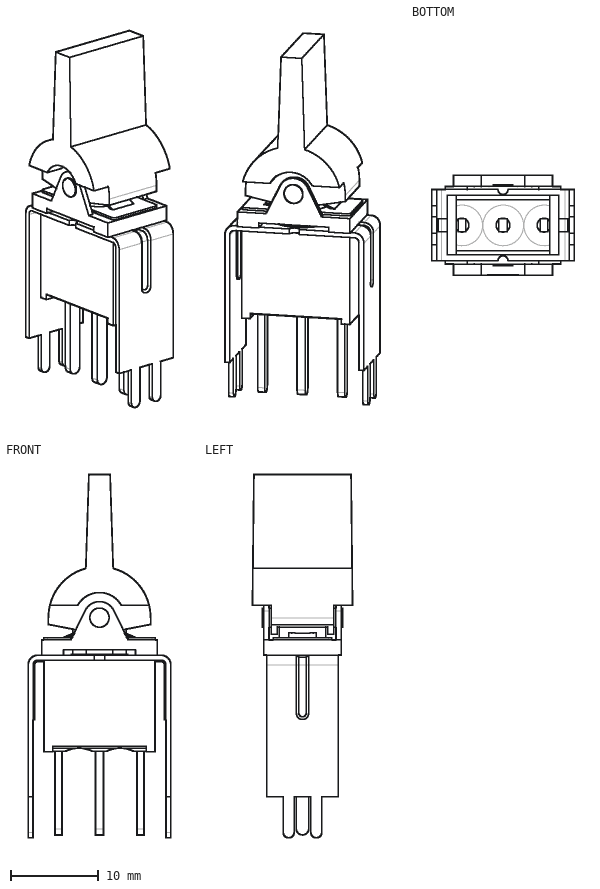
import cadquery as cq
import math


total_height = 41.4

bracket_length = 16.25
bracket_depth = 8.15
bracket_top = 20.8
sheet_thickness = 0.6
bend_radius = 1.1
leg_bottom = 4.68
leg_pin_width = 1.3
leg_pin_spacing = 3.15
notch_radius = 0.6

bead_height = 0.15
groove_depth = 0.25
bead_half_width = 0.75
groove_half_width = 0.7
groove_floor_half_width = 0.4
bead_end_height = 14.2

body_length = 12.65
body_depth = 6.8
body_bottom = 9.8
body_recess_length = 10.68
body_recess_height = 0.62
resin_bottom = 10.22
resin_depth = 5.8
meniscus_bottom = 9.85
meniscus_inner_radius = 0.8
meniscus_outer_radius = 2.3
meniscus_bend_reach = 0.45
meniscus_bend_rise = 0.7
terminal_pitch = 4.68
outer_terminal_thickness = 0.83
centre_terminal_thickness = 0.95
terminal_width = 1.45
terminal_tip = 0.35

bushing_radius = 3.05
bushing_across_flats = 5.35
flange_radius = 3.23
flange_height = 0.1

frame_length = 13.15
frame_depth = 8.85
frame_top = 22.55
frame_slot_length = 8.2
frame_slot_height = 0.6
ear_thickness = 0.62
ear_base_half_width = 3.25
ear_radius = 1.82
pivot_height = 25.08
pivot_diameter = 2.2
pivot_length = 9.2

plate_length = 12.7
plate_depth = 6.65
plate_top = 22.8
plate_corner_radius = 0.4
tab_foot = 4.15
tab_end = 2.8
tab_rise = 0.6
tab_thickness = 0.15
tab_width = 3.15

rocker_radius = 5.85
rocker_depth = 11.42
hub_depth = 7.1
hood_bottom = 26.5
ear_clearance_radius = 2.85
rocker_corner_height = 24.3
rocker_keel_height = 23.17
rocker_recess_length = 8.7
rocker_recess_depth = 5.7
lever_base_thickness = 3.15
lever_tip_thickness = 2.45
lever_tip_depth = 11.1


def block(length, depth, bottom, top):
    """Box centred on the vertical axis between two heights."""
    box = cq.Workplane("XY").box(length, depth, top - bottom, centered=(True, True, False))
    return box.translate((0, 0, bottom))


def extrude_y(profile, depth):
    """Extrude a profile drawn in the XZ plane equally to both sides."""
    return profile.extrude(depth / 2, both=True)


def cylinder_y(radius, height, depth):
    return extrude_y(cq.Workplane("XZ").center(0, height).circle(radius), depth)


def round_tipped_pin(x, y, thickness, width, tip, top):
    """Flat pin whose lower end is a half circle across its width."""
    radius = width / 2
    outline = (
        cq.Workplane("YZ")
        .moveTo(y - radius, top)
        .lineTo(y - radius, tip + radius)
        .threePointArc((y, tip), (y + radius, tip + radius))
        .lineTo(y + radius, top)
        .close()
    )
    return outline.extrude(thickness / 2, both=True).translate((x, 0, 0))


def both_sides(right_half):
    """Join a shape with its mirror image across the YZ plane."""
    return right_half.union(right_half.mirror("YZ"))


def bead_strip(surface_half_width, floor_half_width, surface_offset, floor_offset):
    """Tapered strip that follows the right bend, between two depths below the outer face."""
    outer_x = bracket_length / 2 - surface_offset
    outer_z = bracket_top - surface_offset
    radius = bend_radius - surface_offset
    depth = floor_offset - surface_offset
    start_x = body_length / 2
    bend_x = outer_x - radius
    bend_z = outer_z - radius
    diagonal = radius * math.sqrt(0.5)
    path = (
        cq.Workplane("XZ")
        .moveTo(start_x, outer_z)
        .lineTo(bend_x, outer_z)
        .threePointArc((bend_x + diagonal, bend_z + diagonal), (outer_x, bend_z))
        .lineTo(outer_x, bead_end_height)
    )
    section = (
        cq.Workplane("YZ", origin=(start_x, 0, 0))
        .moveTo(-surface_half_width, outer_z)
        .lineTo(surface_half_width, outer_z)
        .lineTo(floor_half_width, outer_z - depth)
        .lineTo(-floor_half_width, outer_z - depth)
        .close()
    )
    round_end = (
        cq.Workplane("XY")
        .moveTo(outer_x, 0)
        .lineTo(outer_x, surface_half_width)
        .lineTo(outer_x - depth, floor_half_width)
        .lineTo(outer_x - depth, 0)
        .close()
        .revolve(360, (0, 0, 0), (1, 0, 0))
        .translate((0, 0, bead_end_height))
    )
    return section.sweep(path).union(round_end)


def make_bracket():
    outer = block(bracket_length, bracket_depth, leg_bottom, bracket_top)
    outer = outer.edges("|Y and >Z").fillet(bend_radius)
    inner_length = bracket_length - 2 * sheet_thickness
    inner = block(inner_length, bracket_depth, leg_bottom, bracket_top - sheet_thickness)
    inner = inner.edges("|Y and >Z").fillet(bend_radius - sheet_thickness)
    bracket = outer.cut(inner)

    ridge = bead_strip(bead_half_width, bead_half_width, sheet_thickness, sheet_thickness + bead_height)
    groove = bead_strip(groove_half_width, groove_floor_half_width, 0, groove_depth)
    bracket = bracket.union(both_sides(ridge)).cut(both_sides(groove))

    notches = (
        cq.Workplane("XY")
        .pushPoints([(0, -bracket_depth / 2), (0, bracket_depth / 2)])
        .circle(notch_radius)
        .extrude(bracket_top)
    )
    bracket = bracket.cut(notches)

    leg_x = (bracket_length - sheet_thickness) / 2
    for x in (-leg_x, leg_x):
        for y in (-leg_pin_spacing / 2, leg_pin_spacing / 2):
            pin = round_tipped_pin(x, y, sheet_thickness, leg_pin_width, 0, leg_bottom)
            bracket = bracket.union(pin)
    return bracket


def make_meniscus(x):
    """Resin drawn down around a terminal in a concave curve."""
    span = meniscus_outer_radius - meniscus_inner_radius
    rise = resin_bottom - meniscus_bottom
    bend_radius_from_axis = meniscus_inner_radius + span * meniscus_bend_reach
    bend_height = meniscus_bottom + rise * meniscus_bend_rise
    recess_top = body_bottom + body_recess_height
    profile = (
        cq.Workplane("XZ")
        .moveTo(0, meniscus_bottom)
        .lineTo(meniscus_inner_radius, meniscus_bottom)
        .threePointArc((bend_radius_from_axis, bend_height), (meniscus_outer_radius, resin_bottom))
        .lineTo(meniscus_outer_radius, recess_top)
        .lineTo(0, recess_top)
        .close()
    )
    return profile.revolve(360, (0, 0, 0), (0, 1, 0)).translate((x, 0, 0))


def make_body():
    recess_top = body_bottom + body_recess_height
    body = block(body_length, body_depth, body_bottom, bracket_top - sheet_thickness)
    body = body.cut(block(body_recess_length, body_depth, body_bottom, recess_top))
    body = body.union(block(body_recess_length, resin_depth, resin_bottom, recess_top))

    resin_space = block(body_recess_length, resin_depth, body_bottom, recess_top)
    terminals = (
        (-terminal_pitch, outer_terminal_thickness),
        (0, centre_terminal_thickness),
        (terminal_pitch, outer_terminal_thickness),
    )
    for x, thickness in terminals:
        body = body.union(make_meniscus(x).intersect(resin_space))
        body = body.union(
            round_tipped_pin(x, 0, thickness, terminal_width, terminal_tip, recess_top)
        )
    return body


def make_bushing():
    """Round bushing with two flats, standing on a thin flange."""
    height = rocker_corner_height - bracket_top
    bushing = cq.Workplane("XY", origin=(0, 0, bracket_top)).circle(bushing_radius).extrude(height)
    bushing = bushing.intersect(
        block(2 * bushing_radius, bushing_across_flats, bracket_top, rocker_corner_height)
    )
    flange = cq.Workplane("XY", origin=(0, 0, bracket_top)).circle(flange_radius)
    return bushing.union(flange.extrude(flange_height))


def make_ears():
    """Two tapered ears, with sides tangent to a round top around the pivot."""
    drop = pivot_height - frame_top
    reach = math.hypot(ear_base_half_width, drop)
    tangent_angle = math.acos(ear_radius / reach) - math.atan2(drop, ear_base_half_width)
    tangent_x = ear_radius * math.cos(tangent_angle)
    tangent_z = pivot_height + ear_radius * math.sin(tangent_angle)
    outline = (
        cq.Workplane("XZ")
        .moveTo(-ear_base_half_width, frame_top)
        .lineTo(-tangent_x, tangent_z)
        .threePointArc((0, pivot_height + ear_radius), (tangent_x, tangent_z))
        .lineTo(ear_base_half_width, frame_top)
        .close()
    )
    ears = extrude_y(outline, frame_depth)
    gap = block(frame_length, frame_depth - 2 * ear_thickness, frame_top, total_height)
    return ears.cut(gap)


def make_frame():
    frame = block(frame_length, frame_depth, bracket_top, frame_top)
    slot = block(frame_slot_length, frame_depth, bracket_top, bracket_top + frame_slot_height)
    pivot = cylinder_y(pivot_diameter / 2, pivot_height, pivot_length)
    return frame.cut(slot).union(make_ears()).union(pivot)


def make_cover_plate():
    plate = block(plate_length, plate_depth, frame_top, plate_top)
    plate = plate.edges("|Z").fillet(plate_corner_radius)
    tab = (
        cq.Workplane("XZ")
        .moveTo(tab_foot, plate_top)
        .lineTo(tab_end, plate_top + tab_rise)
        .lineTo(tab_end, plate_top + tab_rise - tab_thickness)
        .lineTo(tab_foot - tab_thickness, plate_top - tab_thickness)
        .lineTo(tab_foot, plate_top - tab_thickness)
        .close()
    )
    return plate.union(both_sides(extrude_y(tab, tab_width)))


def make_rocker():
    """Round rocker and wedge-shaped lever in one outline, with a shallow V underneath."""
    shoulder_x = lever_base_thickness / 2
    shoulder_z = pivot_height + math.sqrt(rocker_radius**2 - shoulder_x**2)
    diagonal = rocker_radius * math.sqrt(0.5)
    right_half = (
        cq.Workplane("XZ")
        .moveTo(0, rocker_keel_height)
        .lineTo(rocker_radius, rocker_corner_height)
        .lineTo(rocker_radius, pivot_height)
        .threePointArc((diagonal, pivot_height + diagonal), (shoulder_x, shoulder_z))
        .lineTo(lever_tip_thickness / 2, total_height)
        .lineTo(0, total_height)
        .close()
    )
    rocker = both_sides(extrude_y(right_half, rocker_depth))

    end_outline = (
        cq.Workplane("YZ")
        .moveTo(-rocker_depth / 2, rocker_keel_height)
        .lineTo(-rocker_depth / 2, hood_bottom)
        .lineTo(-lever_tip_depth / 2, total_height)
        .lineTo(lever_tip_depth / 2, total_height)
        .lineTo(rocker_depth / 2, hood_bottom)
        .lineTo(rocker_depth / 2, rocker_keel_height)
        .close()
    )
    rocker = rocker.intersect(end_outline.extrude(rocker_radius, both=True))

    ear_space = block(2 * rocker_radius, rocker_depth, rocker_keel_height, hood_bottom)
    ear_space = ear_space.union(cylinder_y(ear_clearance_radius, pivot_height, rocker_depth))
    ear_space = ear_space.cut(block(2 * rocker_radius, hub_depth, 0, total_height))
    bushing_recess = block(
        rocker_recess_length, rocker_recess_depth, rocker_keel_height, rocker_corner_height
    )
    return rocker.cut(ear_space).cut(bushing_recess)


result = (
    make_bracket()
    .union(make_body())
    .union(make_bushing())
    .union(make_frame())
    .union(make_cover_plate())
    .union(make_rocker())
)